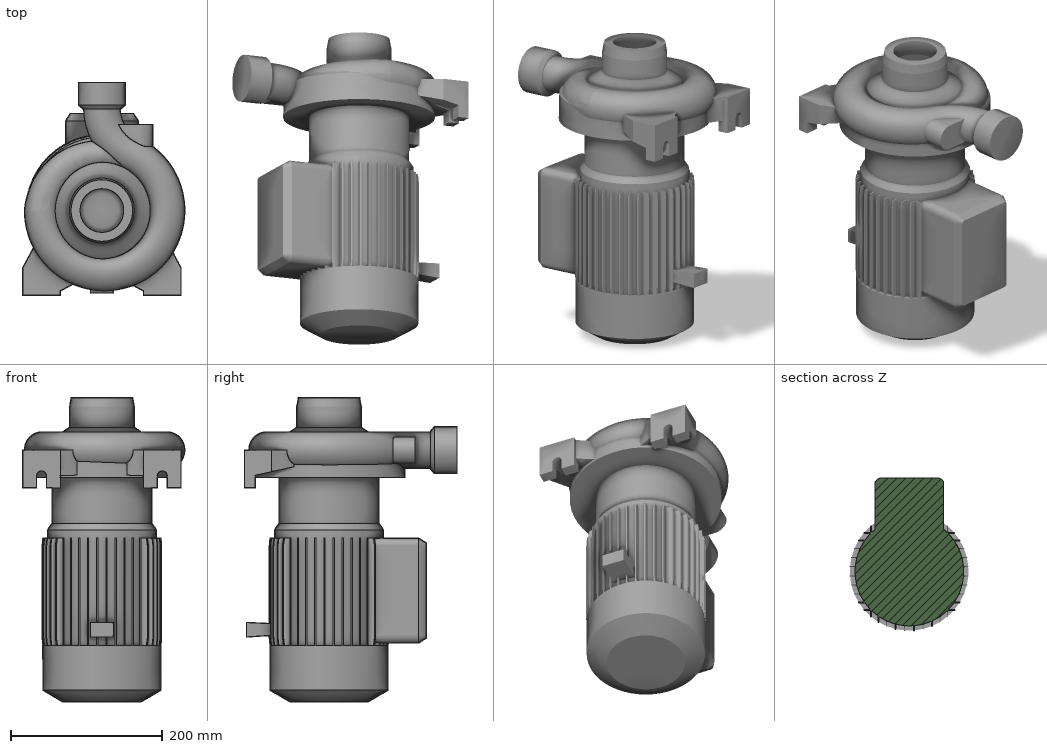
import cadquery as cq
import math

total_height = 403.0
volute_z = 333.5
pipe_radius = 24.3

cap_bottom_radius = 52.0
cap_radius = 78.4
cap_bevel_z = 15.5
fins_bottom_z = 75.0
fins_top_z = 217.0
fin_radius = 79.4
fin_end_bevel = 10.0
fin_count = 40
fin_thickness = 1.6
fin_root_overlap = 2.0
collar_radius = 72.2
collar_top_z = 228.0
neck_bottom_z = 236.5
neck_radius = 66.3

flange_bottom_z = 297.0
flange_radius = 100.6
flange_top_radius = 99.8
flange_rim_height = 2.4

port_radius = 43.0
port_top_radius = 40.8
port_bevel_height = 12.4
port_base_z = 363.5
port_bore_radius = 28.9
port_bore_depth = 20.0
cone_radius = 64.0
cone_edge_z = 350.0

volute_x = 3.6
volute_radius = 82.0
volute_end_angle = 64.5
tail_end_angle = 70.0
tail_end_pipe_radius = 17.5
tail_end_centre_radius = 71.0
tail_sections = 6
outlet_radius = 31.2
outlet_neck_radius = 25.5
outlet_bevel_length = 5.0
outlet_end_y = 169.8
outlet_overlap = 1.0

boss_end_y = 114.0
boss_radius = 17.2
boss_centre_x = 50.3
boss_root = (20.0, 70.0)

foot_front_y = -112.2
foot_centre_x = 80.0
foot_width = 50.0
foot_bottom_z = 283.6
foot_plate_thickness = 14.6
foot_outer_corner_y = -76.0
foot_inner_corner_y = -106.6
web_front_z = 300.0
web_rear_z = 311.6
web_rear_y = -46.0
web_outer_root = (78.0, -26.0)
web_inner_root = (28.0, -92.0)
foot_slot_width = 13.0
foot_slot_top_z = 305.8

pad_front_y = -109.5
pad_width = 30.6
pad_front_z = (85.8, 105.4)
pad_root_z = (88.4, 103.6)
pad_root_y = -69.0

box_width = 96.4
box_bottom_z = 78.0
box_top_z = fins_top_z
box_outer_y = 128.8
box_edge_radius = 10.0
box_lid_depth = 10.0
box_lid_inset = 6.5
box_root_y = 50.0


def revolve_about_z(points):
    """Solid of revolution about Z from (radius, z) points."""
    return cq.Workplane("XZ").polyline(points).close().revolve(360, (0, 0, 0), (0, 1, 0))


def make_body():
    """Turned core: fan cap, motor core, collar, neck and casing flange."""
    return revolve_about_z([
        (0, 0),
        (cap_bottom_radius, 0),
        (cap_radius, cap_bevel_z),
        (cap_radius, fins_bottom_z),
        (collar_radius, fins_bottom_z),
        (collar_radius, collar_top_z),
        (neck_radius, neck_bottom_z),
        (neck_radius, flange_bottom_z),
        (flange_radius, flange_bottom_z),
        (flange_top_radius, volute_z),
        (flange_top_radius - flange_rim_height, volute_z + flange_rim_height),
        (cone_radius, volute_z + flange_rim_height),
        (cone_radius, cone_edge_z),
        (port_radius, port_base_z),
        (port_radius, total_height - port_bevel_height),
        (port_top_radius, total_height),
        (port_bore_radius, total_height),
        (port_bore_radius, total_height - port_bore_depth),
        (0, total_height - port_bore_depth),
    ])


def make_fins():
    """Thin cooling fins; in each quarter they run parallel to that quarter's axis."""
    core_radius = collar_radius - fin_root_overlap
    envelope = revolve_about_z([
        (core_radius, fins_bottom_z),
        (cap_radius, fins_bottom_z),
        (fin_radius, fins_bottom_z + fin_end_bevel),
        (fin_radius, fins_top_z - fin_end_bevel),
        (cap_radius, fins_top_z),
        (core_radius, fins_top_z),
    ])
    pitch = 360 / fin_count
    fins_per_quarter = fin_count // 4
    height = fins_top_z - fins_bottom_z
    plates = cq.Workplane("XY")
    for quarter in range(4):
        for index in range(fins_per_quarter):
            angle = math.radians((index - (fins_per_quarter - 1) / 2) * pitch)
            centre_y = cap_radius * math.sin(angle)
            root_x = math.sqrt(core_radius**2 - centre_y**2)
            plate = (
                cq.Workplane("XY")
                .box(fin_radius - root_x, fin_thickness, height, centered=(False, True, False))
                .translate((root_x, centre_y, fins_bottom_z))
                .rotate((0, 0, 0), (0, 0, 1), 90 * quarter)
            )
            plates.add(plate)
    return plates.combine().intersect(envelope)


def volute_point(angle_deg, radius=volute_radius):
    """XY position at the given angle and radius about the volute centre."""
    angle = math.radians(angle_deg)
    return volute_x + radius * math.cos(angle), radius * math.sin(angle)


def make_volute():
    """Constant-section part of the volute, from the -X side round the front to the bend."""
    sweep_angle = 180 + volute_end_angle
    return (
        cq.Workplane("XZ", origin=(volute_x, 0, volute_z))
        .center(-volute_radius, 0)
        .circle(pipe_radius)
        .revolve(sweep_angle, (volute_radius, 0, 0), (volute_radius, 1, 0))
    )


def make_volute_tail():
    """Shrinking start of the volute, lofted from the -X side to beneath the bend."""
    sections = []
    for index in range(tail_sections):
        share = index / (tail_sections - 1)
        angle = 180 + share * (tail_end_angle - 180)
        radius = pipe_radius + share * (tail_end_pipe_radius - pipe_radius)
        centre_radius = volute_radius + share * (tail_end_centre_radius - volute_radius)
        x, y = volute_point(angle, centre_radius)
        turn = math.radians(angle)
        direction = cq.Vector(math.sin(turn), -math.cos(turn), 0)
        sections.append(cq.Wire.makeCircle(radius, cq.Vector(x, y, volute_z), direction))
    return cq.Workplane(obj=cq.Solid.makeLoft(sections))


def make_discharge():
    """Reverse bend from the volute to the Y direction, then the outlet socket on X = 0."""
    start_x, start_y = volute_point(volute_end_angle)
    turn = math.radians(volute_end_angle)
    bend_radius = start_x / (1 - math.cos(turn))
    bend_end_y = start_y + bend_radius * math.sin(turn)
    bend = (
        cq.Workplane("XZ", origin=(0, bend_end_y, volute_z))
        .circle(pipe_radius)
        .revolve(volute_end_angle, (bend_radius, 0, 0), (bend_radius, 1, 0))
    )
    socket = (
        cq.Workplane("XY", origin=(0, 0, volute_z))
        .polyline([
            (0, bend_end_y - outlet_overlap),
            (outlet_neck_radius, bend_end_y - outlet_overlap),
            (outlet_radius, bend_end_y - outlet_overlap + outlet_bevel_length),
            (outlet_radius, outlet_end_y),
            (0, outlet_end_y),
        ])
        .close()
        .revolve(360, (0, 0, 0), (0, 1, 0))
    )
    return bend.union(socket)


def make_boss():
    """Round-ended boss along Y between the discharge bend and the casing."""
    inner_x, root_y = boss_root
    length = boss_end_y - root_y
    rod = (
        cq.Workplane("XZ", origin=(boss_centre_x, boss_end_y, volute_z))
        .circle(boss_radius)
        .extrude(length)
    )
    block = cq.Workplane("XY").box(boss_centre_x - inner_x, length, 2 * boss_radius)
    block = block.translate(((boss_centre_x + inner_x) / 2, boss_end_y - length / 2, volute_z))
    return rod.union(block)


def make_foot():
    """Mounting foot on the +X side: upright plate with an open slot, and a sloping web."""
    outer_x = foot_centre_x + foot_width / 2
    inner_x = foot_centre_x - foot_width / 2
    plate_rear_y = foot_front_y + foot_plate_thickness
    plan = (
        cq.Workplane("XY", origin=(0, 0, web_front_z))
        .polyline([
            (inner_x, foot_front_y),
            (outer_x, foot_front_y),
            (outer_x, foot_outer_corner_y),
            web_outer_root,
            web_inner_root,
            (inner_x, foot_inner_corner_y),
        ])
        .close()
        .extrude(volute_z - web_front_z)
    )
    side = (
        cq.Workplane("YZ")
        .polyline([
            (foot_front_y, web_front_z),
            (plate_rear_y, web_front_z),
            (web_rear_y, web_rear_z),
            (0, web_rear_z),
            (0, volute_z),
            (foot_front_y, volute_z),
        ])
        .close()
        .extrude(outer_x)
    )
    plate = (
        cq.Workplane("XY")
        .box(foot_width, foot_plate_thickness, volute_z - foot_bottom_z, centered=(True, False, False))
        .translate((foot_centre_x, foot_front_y, foot_bottom_z))
    )
    slot_radius = foot_slot_width / 2
    slot_axis_z = foot_slot_top_z - slot_radius
    slot = (
        cq.Workplane("XZ")
        .moveTo(foot_centre_x - slot_radius, foot_bottom_z)
        .lineTo(foot_centre_x + slot_radius, foot_bottom_z)
        .lineTo(foot_centre_x + slot_radius, slot_axis_z)
        .threePointArc((foot_centre_x, foot_slot_top_z), (foot_centre_x - slot_radius, slot_axis_z))
        .close()
        .extrude(-foot_front_y)
    )
    return plan.intersect(side).union(plate).cut(slot)


def make_pad():
    """Support pad at the front of the motor, flaring slightly outwards."""
    return (
        cq.Workplane("YZ")
        .polyline([
            (pad_front_y, pad_front_z[0]),
            (pad_front_y, pad_front_z[1]),
            (pad_root_y, pad_root_z[1]),
            (pad_root_y, pad_root_z[0]),
        ])
        .close()
        .extrude(pad_width / 2, both=True)
    )


def make_terminal_box():
    """Terminal box behind the motor, with rounded long edges and a tapered lid."""
    height = box_top_z - box_bottom_z
    lid_y = box_outer_y - box_lid_depth
    taper = math.degrees(math.atan(box_lid_inset / box_lid_depth))
    middle_z = (box_top_z + box_bottom_z) / 2
    outline = cq.Sketch().rect(box_width, height).vertices().fillet(box_edge_radius)
    joint = cq.Workplane("XZ", origin=(0, lid_y, middle_z)).placeSketch(outline)
    base = joint.extrude(lid_y - box_root_y)
    lid = joint.extrude(-box_lid_depth, taper=taper)
    return base.union(lid)


foot = make_foot()

result = (
    make_body()
    .union(make_fins())
    .union(make_volute())
    .union(make_volute_tail())
    .union(make_discharge())
    .union(make_boss())
    .union(foot)
    .union(foot.mirror("YZ"))
    .union(make_pad())
    .union(make_terminal_box())
)